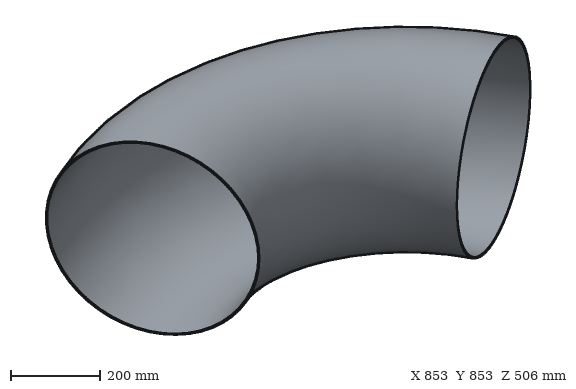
import cadquery as cq

overall_reach = 853.0
outer_diameter = 506.0
wall_thickness = 3.0
bend_angle = 90.0

outer_radius = outer_diameter / 2
inner_radius = outer_radius - wall_thickness
bend_radius = overall_reach - outer_radius


def make_elbow():
    """Sweep the pipe ring about a Z axis through the origin, from the -X side to the +Y side."""
    ring = (
        cq.Workplane("XZ")
        .center(-bend_radius, 0)
        .circle(outer_radius)
        .circle(inner_radius)
    )
    axis_start = (bend_radius, 0)
    axis_end = (bend_radius, -1)
    return ring.revolve(bend_angle, axis_start, axis_end)


result = make_elbow()